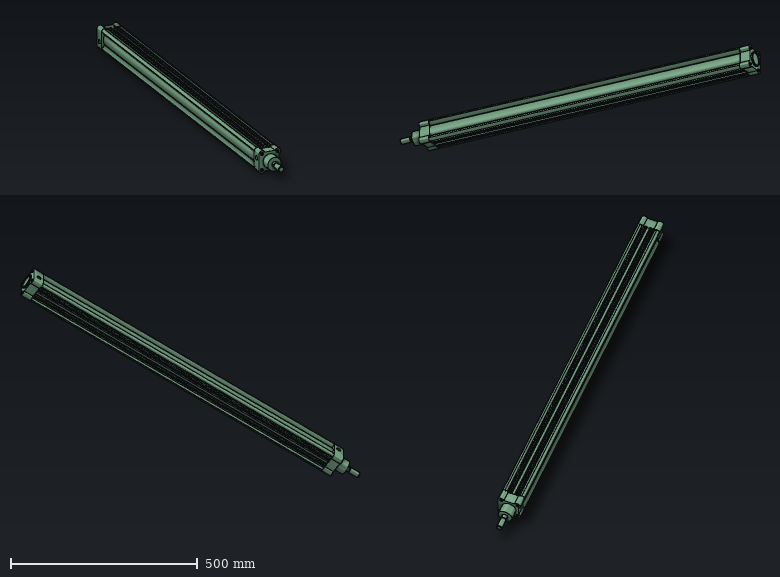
import cadquery as cq


rear_boss_length = 4.0
total_length = 1079.0
thread_length = 32.0
cap_length = 29.5
rear_cap_start = rear_boss_length
tube_start = rear_cap_start + cap_length
front_cap_end = 1008.0
front_cap_start = front_cap_end - cap_length
collar_end = 1037.0
rod_shoulder = total_length - thread_length
tube_length = front_cap_start - tube_start

cap_size = 65.0
screw_spacing = 46.5
screw_offset = screw_spacing / 2
lobe_radius = cap_size / 2 - screw_offset
recessed_face = 27.5
collar_diameter = 40.0
boss_recess_diameter = 35.0
boss_recess_depth = 2.0

counterbore_diameter = 8.0
counterbore_depth = 2.0
socket_diameter = 5.0
socket_depth = 6.0

port_diameter = 11.5
port_depth = 12.0
port_height = 8.0
rear_port_x = 20.0
front_port_x = 992.0

tube_size = 64.0
tube_half = tube_size / 2
tube_corner_radius = 8.0
barrel_radius = 27.0
lip_offset = 24.5
valley_depth = 9.0

rail_offset = 11.0
rail_width = 13.0
rail_base = 20.0
rail_slot_width = 5.0
rail_slot_floor = 26.0

rod_diameter = 16.0
flat_start = 1040.0
flat_width = 14.0
thread_diameter = 16.0
thread_chamfer_length = 2.0
thread_chamfer_height = 1.0


def profile_plane(x):
    """Workplane across the axis: its x runs along +Y, its y along +Z, its normal along +X."""
    return cq.Workplane("YZ", origin=(x, 0, 0))


def cap_body(x):
    """Cap section, recessed between the lobes on +Y, +Z and -Z, flush on -Y."""
    core = profile_plane(x).rect(2 * recessed_face, 2 * recessed_face).extrude(cap_length)
    lobes = (
        profile_plane(x)
        .rect(screw_spacing, screw_spacing, forConstruction=True)
        .vertices()
        .circle(lobe_radius)
        .extrude(cap_length)
    )
    pad_width = lobe_radius
    front_pad = (
        profile_plane(x)
        .center(-cap_size / 2 + pad_width / 2, 0)
        .rect(pad_width, screw_spacing)
        .extrude(cap_length)
    )
    return core.union(lobes).union(front_pad)


def screw_holes(x, direction):
    """Counterbored socket at each corner, running from the face at x along direction."""
    def corner_holes(diameter, depth):
        return (
            profile_plane(x)
            .rect(screw_spacing, screw_spacing, forConstruction=True)
            .vertices()
            .circle(diameter / 2)
            .extrude(direction * depth)
        )

    counterbores = corner_holes(counterbore_diameter, counterbore_depth)
    return counterbores.union(corner_holes(socket_diameter, socket_depth))


def air_port(x, z):
    """Blind round port running inward from the -Y face."""
    return cq.Workplane("XZ", origin=(x, -cap_size / 2, z)).circle(port_diameter / 2).extrude(-port_depth)


def make_rear_cap():
    boss = profile_plane(0).circle(collar_diameter / 2).extrude(rear_boss_length)
    boss_recess = profile_plane(0).circle(boss_recess_diameter / 2).extrude(boss_recess_depth)
    return (
        cap_body(rear_cap_start)
        .union(boss)
        .cut(boss_recess)
        .cut(screw_holes(rear_cap_start, 1))
        .cut(air_port(rear_port_x, -port_height))
    )


def make_front_cap():
    collar_length = collar_end - front_cap_end
    collar = profile_plane(front_cap_end).circle(collar_diameter / 2).extrude(collar_length)
    return (
        cap_body(front_cap_start)
        .union(collar)
        .cut(screw_holes(front_cap_end, -1))
        .cut(air_port(front_port_x, port_height))
    )


def side_valley(angle):
    """Trapezoid with 45 degree flanks, cut into the top face and turned about X by angle."""
    floor_half = lip_offset - valley_depth
    outline = [
        (-lip_offset, tube_half),
        (-floor_half, tube_half - valley_depth),
        (floor_half, tube_half - valley_depth),
        (lip_offset, tube_half),
    ]
    valley = profile_plane(tube_start).polyline(outline).close().extrude(tube_length)
    return valley.rotate((0, 0, 0), (1, 0, 0), angle)


def sensor_rail(y, side):
    """Slotted rail on the top (side 1) or bottom (side -1) of the tube."""
    rail_height = tube_half - rail_base
    slot_depth = tube_half - rail_slot_floor
    rail = (
        profile_plane(tube_start)
        .center(y, side * (rail_base + rail_height / 2))
        .rect(rail_width, rail_height)
        .extrude(tube_length)
    )
    slot = (
        profile_plane(tube_start)
        .center(y, side * (rail_slot_floor + slot_depth / 2))
        .rect(rail_slot_width, slot_depth)
        .extrude(tube_length)
    )
    return rail.cut(slot)


def make_tube():
    tube = profile_plane(tube_start).rect(tube_size, tube_size).extrude(tube_length)
    tube = tube.edges("|X").fillet(tube_corner_radius)
    for quarter_turn in range(4):
        tube = tube.cut(side_valley(90 * quarter_turn))
    tube = tube.union(profile_plane(tube_start).circle(barrel_radius).extrude(tube_length))
    for side in (1, -1):
        for y in (-rail_offset, rail_offset):
            tube = tube.union(sensor_rail(y, side))
    return tube


def make_rod():
    """Rod with two wrench flats facing -Y and +Y, and a chamfered thread at its end."""
    rod = profile_plane(collar_end).circle(rod_diameter / 2).extrude(rod_shoulder - collar_end)
    flat_length = rod_shoulder - flat_start
    flat_depth = (rod_diameter - flat_width) / 2
    for side in (1, -1):
        flat = (
            profile_plane(flat_start)
            .center(side * (flat_width + flat_depth) / 2, 0)
            .rect(flat_depth, rod_diameter)
            .extrude(flat_length)
        )
        rod = rod.cut(flat)
    thread = profile_plane(rod_shoulder).circle(thread_diameter / 2).extrude(thread_length)
    thread = thread.faces("<X or >X").chamfer(thread_chamfer_length, thread_chamfer_height)
    return rod.union(thread)


rear_cap = make_rear_cap()
tube = make_tube()
front_cap = make_front_cap()
rod = make_rod()

result = cq.Compound.makeCompound([rear_cap.val(), tube.val(), front_cap.val(), rod.val()])